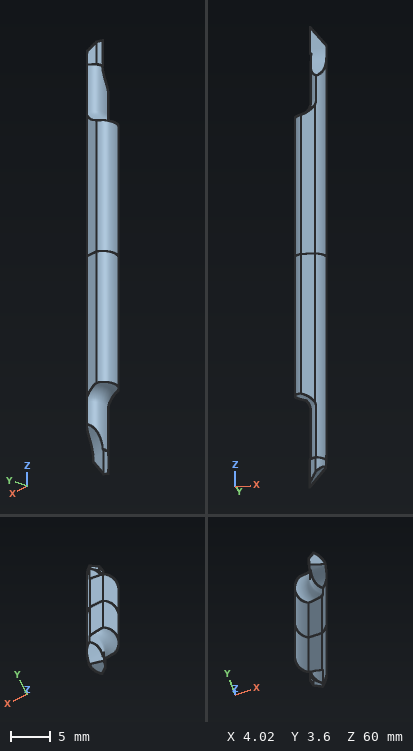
import cadquery as cq
import math


half_length = 30.0
shank_radius = 2.01
shank_width = 3.6

neck_axis_x = shank_radius + 0.03
neck_start_z = 20.1
neck_fillet_radius = shank_radius

rake_face_y = 0.05
pocket_start_z = 27.0
pocket_radius = 5.0

tip_start_z = 26.5
tip_back_radius = shank_radius - 0.01
cutting_point_x = -0.1
clearance_edge = (0.05, 0.95)
clearance_heel = (0.95, 1.75)
end_slope = 1.18
end_relief = 0.2

clear = 6.0


def shank_blank():
    """Round bar with two flats, from the middle joint to the cutting point."""
    bar = cq.Workplane("XY").circle(shank_radius).extrude(half_length)
    flats = cq.Workplane("XY").rect(2 * clear, shank_width).extrude(half_length)
    return bar.intersect(flats)


def neck_cutter():
    """Ring around the neck axis that leaves the neck and its concave shoulder."""
    neck_radius = shank_radius
    shoulder_z = neck_start_z - neck_fillet_radius
    fillet_outer = neck_radius + neck_fillet_radius
    arc_leg = neck_fillet_radius * math.sqrt(0.5)
    profile = (
        cq.Workplane("XZ")
        .moveTo(neck_radius, tip_start_z)
        .lineTo(neck_radius, neck_start_z)
        .threePointArc((fillet_outer - arc_leg, neck_start_z - arc_leg), (fillet_outer, shoulder_z))
        .lineTo(fillet_outer + clear, shoulder_z)
        .lineTo(fillet_outer + clear, tip_start_z)
        .close()
    )
    return profile.revolve(360, (0, 0, 0), (0, 1, 0)).translate((neck_axis_x, 0, 0))


def tip_cutter():
    """Material in front of the two clearance faces of the tip."""
    return (
        cq.Workplane("XY")
        .workplane(offset=tip_start_z)
        .polyline([
            (cutting_point_x, -clear),
            (cutting_point_x, rake_face_y),
            clearance_edge,
            clearance_heel,
            (clearance_heel[0], clear),
            (-clear, clear),
            (-clear, -clear),
        ])
        .close()
        .extrude(half_length - tip_start_z)
    )


def tip_back_cutter():
    """Thin ring that relieves the round back of the tip."""
    return (
        cq.Workplane("XY")
        .workplane(offset=tip_start_z)
        .circle(clear)
        .circle(tip_back_radius)
        .extrude(half_length - tip_start_z)
    )


def pocket_cutter():
    """Flat rake face running into a concave arc that leaves through the -Y flat."""
    arc_center_y = rake_face_y - pocket_radius
    arc_leg = pocket_radius * math.sqrt(0.5)
    return (
        cq.Workplane("YZ")
        .moveTo(rake_face_y, half_length)
        .lineTo(rake_face_y, pocket_start_z)
        .threePointArc(
            (arc_center_y + arc_leg, pocket_start_z - arc_leg),
            (arc_center_y, pocket_start_z - pocket_radius),
        )
        .lineTo(arc_center_y, half_length)
        .close()
        .extrude(clear, both=True)
    )


def end_cutter():
    """Everything above the sloping end face through the cutting point."""
    end_plane = cq.Plane(
        origin=(cutting_point_x, rake_face_y, half_length),
        xDir=(1, 0, -end_slope),
        normal=(end_slope, end_relief, 1),
    )
    return cq.Workplane(end_plane).rect(2 * clear, 2 * clear).extrude(clear)


def cutter_half():
    return (
        shank_blank()
        .cut(neck_cutter())
        .cut(tip_cutter())
        .cut(tip_back_cutter())
        .cut(pocket_cutter())
        .cut(end_cutter())
    )


cutter_halves = []
for turn in (0, 180):
    half = cutter_half().rotate((0, 0, 0), (1, 0, 0), turn)
    cutter_halves.append(half.val())

result = cq.Compound.makeCompound(cutter_halves)